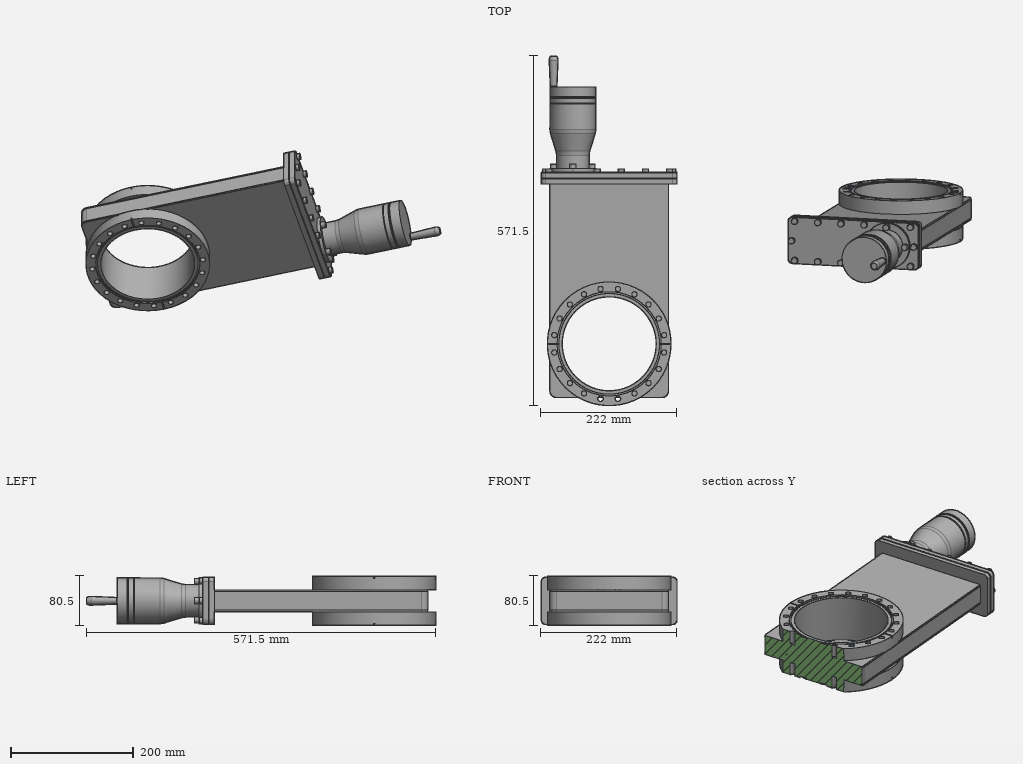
import cadquery as cq


FLANGE_RADIUS = 101.0
FLANGE_THICKNESS = 22.0
OVERALL_HEIGHT = 80.5
BORE_DIAMETER = 153.0
SEAL_RECESS_DIAMETER = 170.0
SEAL_RECESS_DEPTH = 3.0
SEAL_LAND_DIAMETER = 164.5
SEAL_LAND_DEPTH = 1.0
BOLT_HOLE_COUNT = 20
BOLT_CIRCLE_DIAMETER = 181.5
BOLT_HOLE_DIAMETER = 8.5
LEAK_GROOVE_WIDTH = 1.5
LEAK_GROOVE_DEPTH = 3.5
FLANGE_TOP = OVERALL_HEIGHT / 2
FLANGE_BOTTOM = FLANGE_TOP - FLANGE_THICKNESS

HOUSING_WIDTH = 194.0
HOUSING_END = -88.0
HOUSING_CORNER_RADIUS = 11.0
HOUSING_THICKNESS = OVERALL_HEIGHT - 2 * FLANGE_THICKNESS
SKIN_THICKNESS = 3.0
SKIN_INSET = 0.5

BONNET_WIDTH = 222.0
BONNET_HEIGHT = 77.5
BONNET_CORNER_RADIUS = 7.5
BONNET_START = 261.0
BONNET_PLATE_THICKNESS = 8.5
GASKET_THICKNESS = 1.0
GASKET_INSET = 0.5
BONNET_END = BONNET_START + 2 * (BONNET_PLATE_THICKNESS + GASKET_THICKNESS)

BOLT_HEAD_DIAMETER = 10.0
BONNET_BOLT_HEIGHT = 5.0
BONNET_BOLT_PITCH = 39.5
BONNET_BOLTS_PER_ROW = 6
BONNET_BOLT_ROW_Z = 32.5
BONNET_END_BOLT_X = 104.0
DRIVE_BOLT_HEIGHT = 7.5
DRIVE_BOLT_COUNT = 4
DRIVE_BOLT_CIRCLE_RADIUS = 31.5

DRIVE_X = -59.5
DRIVE_RADIUS = 37.5
NECK_RADIUS = 27.0
DRIVE_FLANGE_END = 286.0
CONE_START = 311.5
CONE_END = 347.0
CONE_BLEND_RADIUS = 23.0
CONE_MARGIN = 5.5
DRIVE_END = 420.0
DRIVE_GROOVE_DEPTH = 0.5
DRIVE_GROOVE_WIDTH = 1.0
DRIVE_GROOVE_CENTERS = (392.5, 401.5, 403.5)

OVERALL_LENGTH = 571.5
HANDLE_X = DRIVE_X - 31.5
HANDLE_END = OVERALL_LENGTH - FLANGE_RADIUS
HANDLE_BASE_RADIUS = 5.5
HANDLE_TOP_RADIUS = 7.5
HANDLE_COLLAR_RADIUS = 5.0
HANDLE_COLLAR_LENGTH = 1.0
HANDLE_TIP_RADIUS = 5.0
HANDLE_TIP_LENGTH = 7.5
HANDLE_TIP_BULGE = 0.5


def port_flange():
    """Upper port flange, with its seal recess, bolt holes and leak-check grooves."""
    flange = (
        cq.Workplane("XY").workplane(offset=FLANGE_BOTTOM)
        .circle(FLANGE_RADIUS).extrude(FLANGE_THICKNESS)
    )

    recess = (
        cq.Workplane("XY").workplane(offset=FLANGE_TOP)
        .circle(SEAL_RECESS_DIAMETER / 2).circle(SEAL_LAND_DIAMETER / 2).extrude(-SEAL_RECESS_DEPTH)
    )
    land = (
        cq.Workplane("XY").workplane(offset=FLANGE_TOP)
        .circle(SEAL_LAND_DIAMETER / 2).extrude(-SEAL_LAND_DEPTH)
    )
    holes = (
        cq.Workplane("XY").workplane(offset=FLANGE_BOTTOM)
        .polarArray(BOLT_CIRCLE_DIAMETER / 2, 180 / BOLT_HOLE_COUNT, 360, BOLT_HOLE_COUNT)
        .circle(BOLT_HOLE_DIAMETER / 2).extrude(FLANGE_THICKNESS)
    )
    groove_length = FLANGE_RADIUS - SEAL_LAND_DIAMETER / 2
    groove_center = FLANGE_RADIUS - groove_length / 2
    grooves = (
        cq.Workplane("XY").workplane(offset=FLANGE_TOP)
        .pushPoints([(-groove_center, 0), (groove_center, 0)])
        .rect(groove_length, LEAK_GROOVE_WIDTH).extrude(-LEAK_GROOVE_DEPTH)
    )
    return flange.cut(recess).cut(land).cut(holes).cut(grooves)


def housing_layer(thickness, inset=0):
    """Flat housing slab centred on Z = 0, with its two free corners rounded."""
    length = BONNET_START - HOUSING_END - inset
    return (
        cq.Workplane("XY").box(HOUSING_WIDTH - 2 * inset, length, thickness)
        .edges("|Z and <Y").fillet(HOUSING_CORNER_RADIUS - inset)
        .translate((0, BONNET_START - length / 2, 0))
    )


def bonnet_layer(start, thickness, inset=0):
    """Rounded rectangular plate across the end of the housing."""
    return (
        cq.Workplane("XZ", origin=(0, start, 0))
        .rect(BONNET_WIDTH - 2 * inset, BONNET_HEIGHT - 2 * inset).extrude(-thickness)
        .edges("|Y").fillet(BONNET_CORNER_RADIUS)
    )


def bonnet():
    """Two plates, each followed by a gasket."""
    pair_thickness = BONNET_PLATE_THICKNESS + GASKET_THICKNESS
    stack = cq.Workplane("XZ")
    for plate_start in (BONNET_START, BONNET_START + pair_thickness):
        gasket_start = plate_start + BONNET_PLATE_THICKNESS
        stack = stack.union(bonnet_layer(plate_start, BONNET_PLATE_THICKNESS))
        stack = stack.union(bonnet_layer(gasket_start, GASKET_THICKNESS, GASKET_INSET))
    return stack


def bonnet_bolt_heads():
    """Two long rows of bolt heads plus one head in the middle of each short side."""
    middle = (BONNET_BOLTS_PER_ROW - 1) / 2
    row_x = [(i - middle) * BONNET_BOLT_PITCH for i in range(BONNET_BOLTS_PER_ROW)]
    positions = [(x, z) for x in row_x for z in (-BONNET_BOLT_ROW_Z, BONNET_BOLT_ROW_Z)]
    positions += [(-BONNET_END_BOLT_X, 0), (BONNET_END_BOLT_X, 0)]
    return (
        cq.Workplane("XZ", origin=(0, BONNET_END, 0)).pushPoints(positions)
        .circle(BOLT_HEAD_DIAMETER / 2).extrude(-BONNET_BOLT_HEIGHT)
    )


def drive_body():
    """Turned drive: round base flange, neck, blended cone and grooved cylinder."""
    profile = [
        (0, BONNET_END),
        (DRIVE_RADIUS, BONNET_END),
        (DRIVE_RADIUS, DRIVE_FLANGE_END),
        (NECK_RADIUS, DRIVE_FLANGE_END),
        (NECK_RADIUS, CONE_START),
        (DRIVE_RADIUS, CONE_END),
        (DRIVE_RADIUS, DRIVE_END),
        (0, DRIVE_END),
    ]
    body = cq.Workplane("XY").polyline(profile).close().revolve(360, (0, 0), (0, 1))
    cone_ends = cq.selectors.BoxSelector(
        (-DRIVE_RADIUS, CONE_START - CONE_MARGIN, -DRIVE_RADIUS),
        (DRIVE_RADIUS, CONE_END + CONE_MARGIN, DRIVE_RADIUS),
    )
    body = body.edges("%CIRCLE").edges(cone_ends).fillet(CONE_BLEND_RADIUS)
    for center in DRIVE_GROOVE_CENTERS:
        ring = (
            cq.Workplane("XZ", origin=(0, center - DRIVE_GROOVE_WIDTH / 2, 0))
            .circle(2 * DRIVE_RADIUS).circle(DRIVE_RADIUS - DRIVE_GROOVE_DEPTH).extrude(-DRIVE_GROOVE_WIDTH)
        )
        body = body.cut(ring)
    return body.translate((DRIVE_X, 0, 0))


def drive_bolt_heads():
    """Bolt heads standing on the base flange of the drive."""
    return (
        cq.Workplane("XZ", origin=(DRIVE_X, DRIVE_FLANGE_END, 0))
        .polarArray(DRIVE_BOLT_CIRCLE_RADIUS, 0, 360, DRIVE_BOLT_COUNT)
        .circle(BOLT_HEAD_DIAMETER / 2).extrude(-DRIVE_BOLT_HEIGHT)
    )


def crank_handle():
    """Tapered grip on a short collar, widest just below its rounded tip."""
    grip_start = DRIVE_END + HANDLE_COLLAR_LENGTH
    tip_start = HANDLE_END - HANDLE_TIP_LENGTH
    tip_middle = (
        (HANDLE_TOP_RADIUS + HANDLE_TIP_RADIUS) / 2 + HANDLE_TIP_BULGE,
        (tip_start + HANDLE_END) / 2 + HANDLE_TIP_BULGE,
    )
    handle = (
        cq.Workplane("XY").moveTo(0, DRIVE_END)
        .lineTo(HANDLE_COLLAR_RADIUS, DRIVE_END)
        .lineTo(HANDLE_COLLAR_RADIUS, grip_start)
        .lineTo(HANDLE_BASE_RADIUS, grip_start)
        .lineTo(HANDLE_TOP_RADIUS, tip_start)
        .threePointArc(tip_middle, (HANDLE_TIP_RADIUS, HANDLE_END))
        .lineTo(0, HANDLE_END)
        .close()
        .revolve(360, (0, 0), (0, 1))
    )
    return handle.translate((HANDLE_X, 0, 0))


core = housing_layer(HOUSING_THICKNESS - 2 * SKIN_THICKNESS)
skins = housing_layer(HOUSING_THICKNESS, SKIN_INSET)
upper_flange = port_flange()
lower_flange = upper_flange.mirror("XY")
bore = cq.Workplane("XY").circle(BORE_DIAMETER / 2).extrude(FLANGE_TOP, both=True)

valve_body = core.union(skins).union(upper_flange).union(lower_flange).cut(bore)
drive = drive_body().union(drive_bolt_heads()).union(crank_handle())
result = valve_body.union(bonnet()).union(bonnet_bolt_heads()).union(drive)